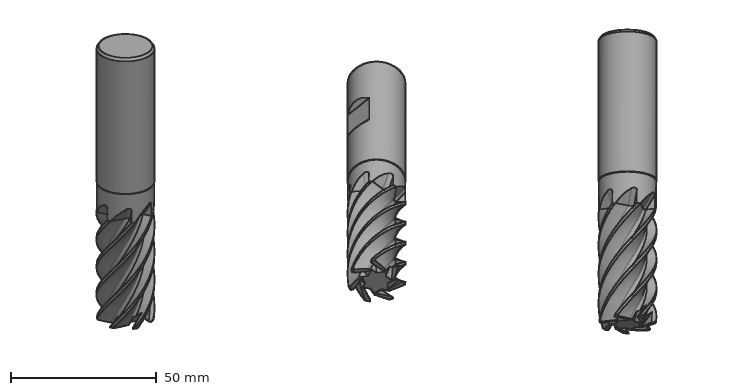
import cadquery as cq
import math


CLEARANCE = 2.1

LENGTH = 104.0
TOOL_RADIUS = 10.0
CUTTING_LENGTH = 41.0
NECK_TOP = 52.0

NECK_RADIUS = 9.9
NECK_STEP_HEIGHT = 0.26
END_CHAMFER_WIDTH = 0.7
END_CHAMFER_HEIGHT = 1.0
FLAT_DEPTH = 1.6
FLAT_LENGTH = 11.0
FLAT_CENTRE_FROM_TOP = 25.0

FLUTES = 7
PITCH_ANGLE = 360.0 / FLUTES
HELIX_LEAD = 73.1
FIRST_EDGE_ANGLE = 176.0
LAND_ANGLE = 7.5
BACK_FOOT_ANGLE = 34.0
RAKE_FOOT_ANGLE = 52.2
CORE_RADIUS = 6.7
FLOOR_RADIUS = 6.2
TWIST = 360.0 * CUTTING_LENGTH / HELIX_LEAD

RUNOUT_HEIGHT = 5.6
RUNOUT_RISE = TOOL_RADIUS - FLOOR_RADIUS

CORNER_CHAMFER = 0.5
GASH_HEIGHT = 3.6
GASH_WIDTH = 2.7
GASH_SLOPE = 52.0


def polar(radius, degrees):
    angle = math.radians(degrees)
    return (radius * math.cos(angle), radius * math.sin(angle))


def flute_floor(wire, edge_angle):
    """Continue a wire down the tooth back, along the flute floor and to the foot of the rake face."""
    middle = (BACK_FOOT_ANGLE + RAKE_FOOT_ANGLE) / 2
    return wire.lineTo(*polar(CORE_RADIUS, edge_angle + BACK_FOOT_ANGLE)).threePointArc(
        polar(FLOOR_RADIUS, edge_angle + middle),
        polar(CORE_RADIUS, edge_angle + RAKE_FOOT_ANGLE),
    )


def tooth_section():
    """Closed cross-section of all teeth at the cutting end."""
    wire = cq.Workplane("XY").moveTo(*polar(TOOL_RADIUS, FIRST_EDGE_ANGLE))
    for tooth in range(FLUTES):
        edge = FIRST_EDGE_ANGLE + tooth * PITCH_ANGLE
        wire = wire.threePointArc(
            polar(TOOL_RADIUS, edge + LAND_ANGLE / 2), polar(TOOL_RADIUS, edge + LAND_ANGLE)
        )
        wire = flute_floor(wire, edge)
        if tooth < FLUTES - 1:
            wire = wire.lineTo(*polar(TOOL_RADIUS, edge + PITCH_ANGLE))
    return wire.close()


def end_gash(edge_angle):
    """Slot along one end tooth: its floor sinks from the flute towards the axis."""
    start_x = CORE_RADIUS + CLEARANCE
    floor_slope = math.tan(math.radians(GASH_SLOPE))
    drop = start_x * floor_slope
    top = GASH_HEIGHT + CLEARANCE * floor_slope
    bottom = -CLEARANCE
    lean = 2 * math.pi * CORE_RADIUS / HELIX_LEAD
    corners = [
        (lean * bottom, bottom),
        (lean * top, top),
        (lean * top - GASH_WIDTH, top),
        (lean * bottom - GASH_WIDTH, bottom),
    ]
    outline = cq.Wire.makePolygon([cq.Vector(start_x, y, z) for y, z in corners], close=True)
    slot = cq.Solid.extrudeLinear(outline, [], cq.Vector(-start_x, 0, -drop))
    return cq.Workplane(slot).rotate((0, 0, 0), (0, 0, 1), edge_angle)


def make_cutter():
    """Fluted cutting end: twisted teeth, chamfered corners and end gashes."""
    cutter = tooth_section().twistExtrude(CUTTING_LENGTH, TWIST)
    envelope = (
        cq.Workplane("XY")
        .circle(TOOL_RADIUS)
        .extrude(CUTTING_LENGTH)
        .faces("<Z")
        .chamfer(CORNER_CHAMFER)
    )
    cutter = cutter.intersect(envelope)
    for tooth in range(FLUTES):
        cutter = cutter.cut(end_gash(FIRST_EDGE_ANGLE + tooth * PITCH_ANGLE))
    return cutter.solids()


def runout(edge_angle):
    """One flute section swept straight up and outwards until it leaves the neck."""
    outside = TOOL_RADIUS + CLEARANCE
    land_end = cq.Workplane("XY").moveTo(*polar(TOOL_RADIUS, edge_angle + LAND_ANGLE))
    wire = flute_floor(land_end, edge_angle)
    wire = (
        wire.lineTo(*polar(TOOL_RADIUS, edge_angle + PITCH_ANGLE))
        .lineTo(*polar(outside, edge_angle + PITCH_ANGLE))
        .lineTo(*polar(outside, edge_angle + LAND_ANGLE))
        .close()
    )
    outward = polar(RUNOUT_RISE, edge_angle + PITCH_ANGLE)
    return cq.Workplane(
        cq.Solid.extrudeLinear(wire.val(), [], cq.Vector(*outward, RUNOUT_HEIGHT))
    ).translate((0, 0, CUTTING_LENGTH))


def clamping_flat():
    """Cut for the clamping flat on the +Y side, with 45-degree ends."""
    flat_y = TOOL_RADIUS - FLAT_DEPTH
    flat_z = LENGTH - FLAT_CENTRE_FROM_TOP
    half = FLAT_LENGTH / 2
    depth = FLAT_DEPTH + CLEARANCE
    return (
        cq.Workplane("YZ")
        .moveTo(flat_y, flat_z - half)
        .lineTo(flat_y, flat_z + half)
        .lineTo(flat_y + depth, flat_z + half + depth)
        .lineTo(flat_y + depth, flat_z - half - depth)
        .close()
        .extrude(TOOL_RADIUS, both=True)
    )


def make_shank():
    """Shank and neck, turned in one piece, with the flat and the flute run-outs cut in."""
    shank = (
        cq.Workplane("XZ")
        .moveTo(0, CUTTING_LENGTH)
        .lineTo(NECK_RADIUS, CUTTING_LENGTH)
        .lineTo(NECK_RADIUS, NECK_TOP)
        .lineTo(TOOL_RADIUS, NECK_TOP + NECK_STEP_HEIGHT)
        .lineTo(TOOL_RADIUS, LENGTH - END_CHAMFER_HEIGHT)
        .lineTo(TOOL_RADIUS - END_CHAMFER_WIDTH, LENGTH)
        .lineTo(0, LENGTH)
        .close()
        .revolve(360, (0, 0, 0), (0, 1, 0))
    )
    shank = shank.cut(clamping_flat())
    for flute in range(FLUTES):
        shank = shank.cut(runout(FIRST_EDGE_ANGLE + TWIST + flute * PITCH_ANGLE))
    return shank


cutter = make_cutter()
shank = make_shank()
result = cq.Compound.makeCompound([cutter.val(), shank.val()])